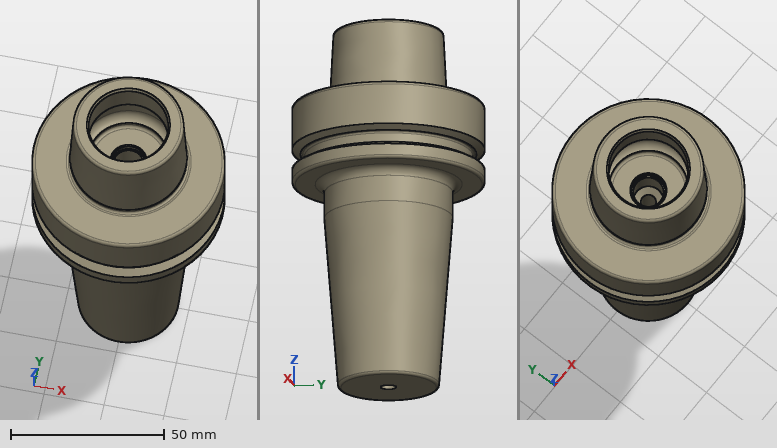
import cadquery as cq
import math

taper_top = 25.0
nose_bottom = -95.0

taper_ratio = 1 / 9.98
taper_gauge_radius = 19.0
taper_gauge_height = 5.0
taper_start = 2.1
taper_top_fillet = 1.0

relief_radius = 18.9
relief_top = 1.5
relief_outer_radius = 20.4
relief_depth = 0.15
relief_fillet = 0.8

flange_radius = 31.5
flange_bottom = -26.0
flange_fillet = 1.0
groove_radius = 27.5
groove_middle = -17.9
groove_width = 6.9
groove_channel_width = 4.0
groove_flare_angle = 28.0
groove_corner_radius = 0.6

neck_radius = 21.0
neck_bottom = -37.6
neck_fillet = 3.0
nose_angle = 4.5
nose_fillet = 1.0

bore_radius = 13.0
bore_chamfer_width = 0.6
bore_chamfer_height = 0.95
clamp_groove_radius = 16.0
clamp_groove_top_depth = 10.0
clamp_groove_wall_end_depth = 19.7
floor_land = 1.0
floor_corner_radius = 1.0

counterbore_radius = 5.55
counterbore_chamfer = 0.4
counterbore_depth = 2.0
screw_radius = 4.95
screw_depth = 12.0
drill_point_half_angle = 59.0
through_radius = 2.5

OUT = (1, 0)
IN = (-1, 0)
UP = (0, 1)
DOWN = (0, -1)
diagonal = math.sqrt(0.5)


def taper_radius(z):
    """Radius of the clamping cone at height z."""
    return taper_gauge_radius - (z - taper_gauge_height) * taper_ratio / 2


def ring(outline):
    """Revolve a closed (radius, z) outline about the Z axis."""
    return outline.close().revolve(360, (0, 0, 0), (0, 1, 0))


def corner_arc(outline, center, radius, start, end):
    """Quarter arc about center; start and end are unit (radius, z) directions."""
    middle = ((start[0] + end[0]) * diagonal, (start[1] + end[1]) * diagonal)
    points = [
        (center[0] + radius * direction[0], center[1] + radius * direction[1])
        for direction in (start, middle, end)
    ]
    return outline.lineTo(*points[0]).threePointArc(points[1], points[2])


def taper():
    """Clamping cone with a rounded top edge."""
    outline = (
        cq.Workplane("YZ")
        .moveTo(0, taper_top)
        .lineTo(taper_radius(taper_top), taper_top)
        .lineTo(taper_radius(taper_start), taper_start)
        .lineTo(relief_radius, relief_top)
        .lineTo(0, relief_top)
    )
    return ring(outline).faces(">Z").edges().fillet(taper_top_fillet)


def flange_and_nose():
    """Everything below the taper: relief, rounded flange, neck and conical nose."""
    nose_slope = math.tan(math.radians(nose_angle))
    nose_radius = neck_radius - (neck_bottom - nose_bottom) * nose_slope
    flange_center_radius = flange_radius - flange_fillet

    outline = cq.Workplane("YZ").moveTo(0, relief_top).lineTo(relief_radius, relief_top)
    relief_center = (relief_radius + relief_fillet, relief_fillet - relief_depth)
    outline = corner_arc(outline, relief_center, relief_fillet, IN, DOWN)
    outline = outline.lineTo(relief_outer_radius, 0)
    outline = corner_arc(outline, (flange_center_radius, -flange_fillet), flange_fillet, UP, OUT)
    lower_center = (flange_center_radius, flange_bottom + flange_fillet)
    outline = corner_arc(outline, lower_center, flange_fillet, OUT, DOWN)
    neck_center = (neck_radius + neck_fillet, flange_bottom - neck_fillet)
    outline = corner_arc(outline, neck_center, neck_fillet, UP, IN)
    outline = (
        outline.lineTo(neck_radius, neck_bottom)
        .lineTo(nose_radius, nose_bottom)
        .lineTo(0, nose_bottom)
    )
    return ring(outline).faces("<Z").edges().fillet(nose_fillet)


def gripper_groove():
    """Straight channel with rounded floor corners and a flared mouth."""
    half_mouth = groove_width / 2
    half_channel = groove_channel_width / 2
    flare_slope = math.tan(math.radians(groove_flare_angle))
    flare_radius = flange_radius - (half_mouth - half_channel) / flare_slope
    outline = (
        cq.Workplane("YZ")
        .moveTo(flange_radius, groove_middle + half_mouth)
        .lineTo(flare_radius, groove_middle + half_channel)
        .lineTo(groove_radius, groove_middle + half_channel)
        .lineTo(groove_radius, groove_middle - half_channel)
        .lineTo(flare_radius, groove_middle - half_channel)
        .lineTo(flange_radius, groove_middle - half_mouth)
    )
    floor_edges = cq.selectors.RadiusNthSelector(0)
    return ring(outline).edges(floor_edges).fillet(groove_corner_radius)


def bore():
    """Stepped axial bore: clamping bore with inner groove, screw hole with drill point, through hole."""
    clamp_wall_end_z = taper_top - clamp_groove_wall_end_depth
    clamp_corner_radius = clamp_groove_radius - bore_radius
    clamp_top_z = taper_top - clamp_groove_top_depth
    corner_z = clamp_wall_end_z - clamp_corner_radius - floor_land
    floor_z = corner_z - floor_corner_radius
    counterbore_z = floor_z - counterbore_depth
    screw_z = floor_z - screw_depth
    point_drop = (screw_radius - through_radius) / math.tan(math.radians(drill_point_half_angle))

    outline = (
        cq.Workplane("YZ")
        .moveTo(0, taper_top)
        .lineTo(bore_radius + bore_chamfer_width, taper_top)
        .lineTo(bore_radius, taper_top - bore_chamfer_height)
        .lineTo(bore_radius, clamp_top_z)
        .lineTo(clamp_groove_radius, clamp_top_z)
    )
    outline = corner_arc(outline, (bore_radius, clamp_wall_end_z), clamp_corner_radius, OUT, DOWN)
    corner_center = (bore_radius - floor_corner_radius, corner_z)
    outline = corner_arc(outline, corner_center, floor_corner_radius, OUT, DOWN)
    outline = (
        outline.lineTo(counterbore_radius + counterbore_chamfer, floor_z)
        .lineTo(counterbore_radius, floor_z - counterbore_chamfer)
        .lineTo(counterbore_radius, counterbore_z)
        .lineTo(screw_radius, counterbore_z)
        .lineTo(screw_radius, screw_z)
        .lineTo(through_radius, screw_z - point_drop)
        .lineTo(through_radius, nose_bottom)
        .lineTo(0, nose_bottom)
    )
    return ring(outline)


result = taper().union(flange_and_nose()).cut(gripper_groove()).cut(bore())